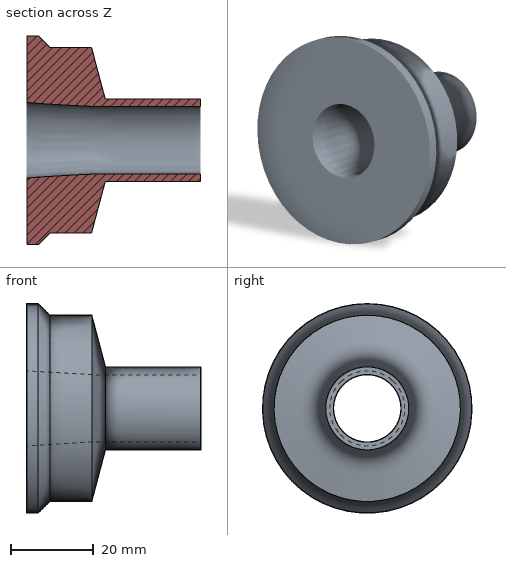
import cadquery as cq

rim_end = 2.8
body_end = 15.7
shoulder_end = 19.0
total_length = 42.0

flange_diameter = 50.5
body_diameter = 44.9
spigot_diameter = 20.0

flange_cone_end = rim_end + (flange_diameter - body_diameter) / 2

bore_inlet_diameter = 18.1
bore_diameter = 16.2
bore_taper_length = 16.0


def make_profile():
    """Half section in the XZ plane, with the X axis as centreline."""
    return (
        cq.Workplane("XZ")
        .moveTo(0, bore_inlet_diameter / 2)
        .lineTo(0, flange_diameter / 2)
        .lineTo(rim_end, flange_diameter / 2)
        .lineTo(flange_cone_end, body_diameter / 2)
        .lineTo(body_end, body_diameter / 2)
        .lineTo(shoulder_end, spigot_diameter / 2)
        .lineTo(total_length, spigot_diameter / 2)
        .lineTo(total_length, bore_diameter / 2)
        .lineTo(bore_taper_length, bore_diameter / 2)
        .close()
    )


axis_start = (0, 0, 0)
axis_end = (1, 0, 0)
result = make_profile().revolve(360, axis_start, axis_end)